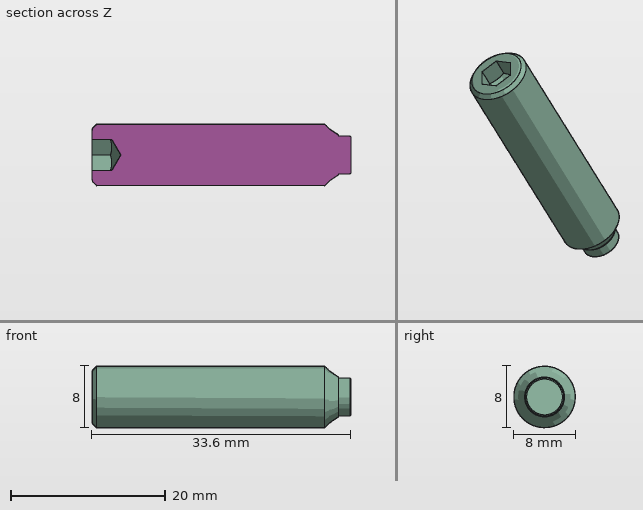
import cadquery as cq
import math

length = 33.6
body_radius = 4.0

face_radius = 3.25
face_cone_radius = 3.5
face_cone_depth = 0.07
socket_chamfer = body_radius - face_cone_radius

tip_radius = 2.5
tip_length = 1.6
tip_chamfer = 0.17
nose_cone_length = 1.2
nose_cone_end_radius = 2.6
nose_chamfer = 0.6
tip_start = length - tip_length
nose_cone_start = tip_start - nose_cone_length

hex_across_flats = 4.0
hex_across_corners = hex_across_flats / math.cos(math.pi / 6)
hex_depth = 2.4
drill_point_angle = 120.0


def make_body():
    """Revolve the half outline of the screw around X."""
    outline = [
        (0, 0),
        (0, face_radius),
        (face_cone_depth, face_cone_radius),
        (face_cone_depth + socket_chamfer, body_radius),
        (nose_cone_start - nose_chamfer, body_radius),
        (nose_cone_start, body_radius - nose_chamfer),
        (tip_start, nose_cone_end_radius),
        (tip_start, tip_radius),
        (length - tip_chamfer, tip_radius),
        (length, tip_radius - tip_chamfer),
        (length, 0),
    ]
    return cq.Workplane("XY").polyline(outline).close().revolve(360, (0, 0, 0), (1, 0, 0))


def make_socket():
    """Hexagonal prism with corners at +Z and -Z, ending in a cone."""
    prism = (
        cq.Workplane("YZ")
        .transformed(rotate=(0, 0, 90))
        .polygon(6, hex_across_corners)
        .extrude(hex_depth)
    )
    corner_radius = hex_across_corners / 2
    point_depth = corner_radius / math.tan(math.radians(drill_point_angle / 2))
    point = cq.Workplane(
        cq.Solid.makeCone(corner_radius, 0, point_depth, cq.Vector(hex_depth, 0, 0), cq.Vector(1, 0, 0))
    )
    flats = prism.translate((hex_depth, 0, 0))
    return prism.union(point.intersect(flats))


result = make_body().cut(make_socket())